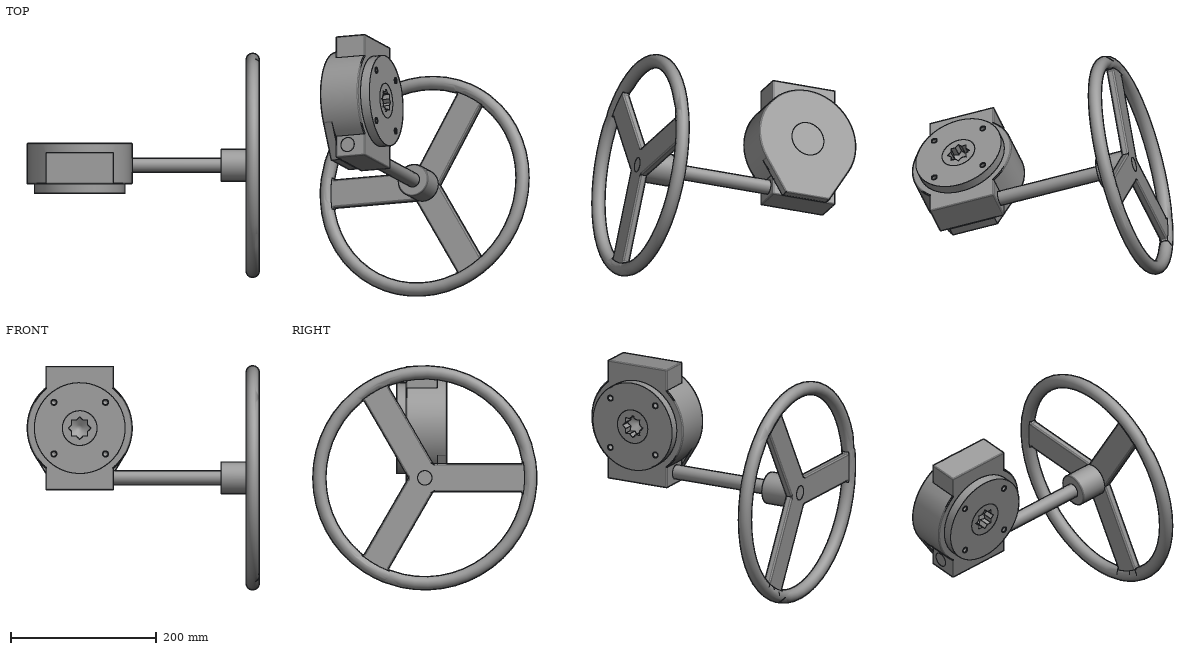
import cadquery as cq
import math


housing_diameter = 145.0
housing_depth = 56.0
block_width = 93.5
block_height = 170.2
skirt_depth = 13.0
skirt_bottom_width = 65.3
housing_edge_fillet = 1.3
flange_diameter = 125.0
flange_thickness = 13.0

mount_circle_diameter = 100.5
mount_hole_count = 4
mount_hole_diameter = 6.7
mount_mouth_diameter = 8.3
mount_mouth_depth = 1.0
mount_hole_depth = 16.0

insert_diameter = 48.0
insert_length = flange_thickness + housing_depth
star_square_side = 22.0
star_depth = 12.5
drill_tip_angle = 118.0

shaft_diameter = 20.0
shaft_y = 25.5
shaft_z = -68.5

wheel_diameter = 309.0
rim_thickness = 18.5
rim_radius = (wheel_diameter - rim_thickness) / 2
wheel_x = 320.0 - housing_diameter / 2 - rim_thickness / 2
hub_diameter = 44.0
hub_start_x = 194.5
hub_fillet = 1.0
spoke_count = 3
spoke_width = 39.0
spoke_thickness = 10.0
spoke_fillet = 2.0
spoke_flare_radius = 2.0
hub_end_x = wheel_x + spoke_thickness / 2


def cylinder_y(diameter, start_y, length):
    """Cylinder about the output axis, growing toward +Y."""
    return cq.Workplane("XZ", origin=(0, start_y, 0)).circle(diameter / 2).extrude(-length)


def cylinder_x(diameter, start_x, end_x):
    """Cylinder about the shaft axis."""
    plane = cq.Workplane("YZ", origin=(start_x, shaft_y, shaft_z))
    return plane.circle(diameter / 2).extrude(end_x - start_x)


def drilled_hole(diameter, depth):
    """Cutter for a blind hole from the flange face toward +Y, with a conical drill tip."""
    radius = diameter / 2
    tip_height = radius / math.tan(math.radians(drill_tip_angle / 2))
    profile = (
        cq.Workplane("XY", origin=(0, -flange_thickness, 0))
        .lineTo(radius, 0)
        .lineTo(radius, depth)
        .lineTo(0, depth + tip_height)
        .close()
    )
    return profile.revolve(360, (0, 0, 0), (0, 1, 0))


def mounting_hole():
    """Cutter for one drilled hole with a shallow counterbored mouth."""
    mouth = cylinder_y(mount_mouth_diameter, -flange_thickness, mount_mouth_depth)
    return drilled_hole(mount_hole_diameter, mount_hole_depth).union(mouth)


def skirt():
    """Plate at the back whose sides run from tangents on the round body to the block's bottom."""
    radius = housing_diameter / 2
    corner_x = skirt_bottom_width / 2
    corner_z = -block_height / 2
    corner_distance = math.hypot(corner_x, corner_z)
    tangent_angle = math.atan2(corner_z, corner_x) + math.acos(radius / corner_distance)
    tangent_x = radius * math.cos(tangent_angle)
    tangent_z = radius * math.sin(tangent_angle)
    outline = [
        (tangent_x, tangent_z),
        (corner_x, corner_z),
        (-corner_x, corner_z),
        (-tangent_x, tangent_z),
    ]
    plane = cq.Workplane("XZ", origin=(0, housing_depth - skirt_depth, 0))
    return plane.polyline(outline).close().extrude(-skirt_depth)


def make_housing():
    body = cylinder_y(housing_diameter, 0, housing_depth).union(skirt())
    body = body.faces("<Y or >Y").edges().fillet(housing_edge_fillet)
    block_depth = housing_depth - skirt_depth
    block = cq.Workplane("XZ").rect(block_width, block_height).extrude(-block_depth)
    block = block.edges().fillet(housing_edge_fillet)
    flange = cylinder_y(flange_diameter, -flange_thickness, flange_thickness)
    body = body.union(block).union(flange)

    body = body.cut(cylinder_y(insert_diameter, -flange_thickness, insert_length))
    body = body.cut(cylinder_x(shaft_diameter, -block_width / 2, block_width / 2))
    angle_step = 360 / mount_hole_count
    for index in range(mount_hole_count):
        hole = mounting_hole().translate((mount_circle_diameter / 2, 0, 0))
        body = body.cut(hole.rotate((0, 0, 0), (0, 1, 0), (index + 0.5) * angle_step))
    return body


def make_insert():
    """Flush plug with a blind eight-pointed socket, two crossed squares ending in a cone."""
    plug = cylinder_y(insert_diameter, -flange_thickness, insert_length)
    square = (
        cq.Workplane("XZ", origin=(0, -flange_thickness, 0))
        .rect(star_square_side, star_square_side)
        .extrude(-insert_length)
    )
    star = square.union(square.rotate((0, 0, 0), (0, 1, 0), 45))
    star_diameter = star_square_side * math.sqrt(2)
    return plug.cut(star.intersect(drilled_hole(star_diameter, star_depth)))


def make_shaft():
    return cylinder_x(shaft_diameter, -block_width / 2, hub_end_x)


def make_spoke():
    """Flat spoke along +Y that flares into the inside of the rim; its long edges are rounded."""
    half_width = spoke_width / 2
    rim_inner_radius = rim_radius - rim_thickness / 2
    arc_z = half_width + spoke_flare_radius
    arc_y = math.sqrt((rim_inner_radius - spoke_flare_radius) ** 2 - arc_z**2)
    arc_angle = math.atan2(arc_z, arc_y)
    mid_angle = (arc_angle - math.pi / 2) / 2
    mid_y = arc_y + spoke_flare_radius * math.cos(mid_angle)
    mid_z = arc_z + spoke_flare_radius * math.sin(mid_angle)
    inner_y = rim_inner_radius * math.cos(arc_angle)
    inner_z = rim_inner_radius * math.sin(arc_angle)
    outer_y = rim_radius * math.cos(arc_angle)
    outer_z = rim_radius * math.sin(arc_angle)
    half_spoke = (
        cq.Workplane("YZ", origin=(-spoke_thickness / 2, 0, 0))
        .lineTo(0, half_width)
        .lineTo(arc_y, half_width)
        .threePointArc((mid_y, mid_z), (inner_y, inner_z))
        .lineTo(outer_y, outer_z)
        .lineTo(outer_y, 0)
        .close()
        .extrude(spoke_thickness)
    )
    long_side = half_spoke.faces(cq.selectors.NearestToPointSelector((0, arc_y / 2, half_width)))
    half_spoke = long_side.edges("|Y").fillet(spoke_fillet)
    return half_spoke.union(half_spoke.mirror("XY"))


def make_handwheel():
    axis_start = (wheel_x, shaft_y, shaft_z)
    axis_end = (wheel_x + 3.2, shaft_y, shaft_z)
    rim = (
        cq.Workplane("XY", origin=(wheel_x, shaft_y - rim_radius, shaft_z))
        .circle(rim_thickness / 2)
        .revolve(360, (0, rim_radius, 0), (1, rim_radius, 0))
    )
    spoke = make_spoke().translate(axis_start)
    hub = cylinder_x(hub_diameter, hub_start_x, hub_end_x).faces("<X").edges().fillet(hub_fillet)
    wheel = hub
    for index in range(spoke_count):
        wheel = wheel.union(spoke.rotate(axis_start, axis_end, index * 360 / spoke_count))
    return wheel.union(rim).cut(make_shaft())


housing = make_housing()
insert = make_insert()
shaft = make_shaft()
handwheel = make_handwheel()

result = cq.Compound.makeCompound([housing.val(), insert.val(), shaft.val(), handwheel.val()])